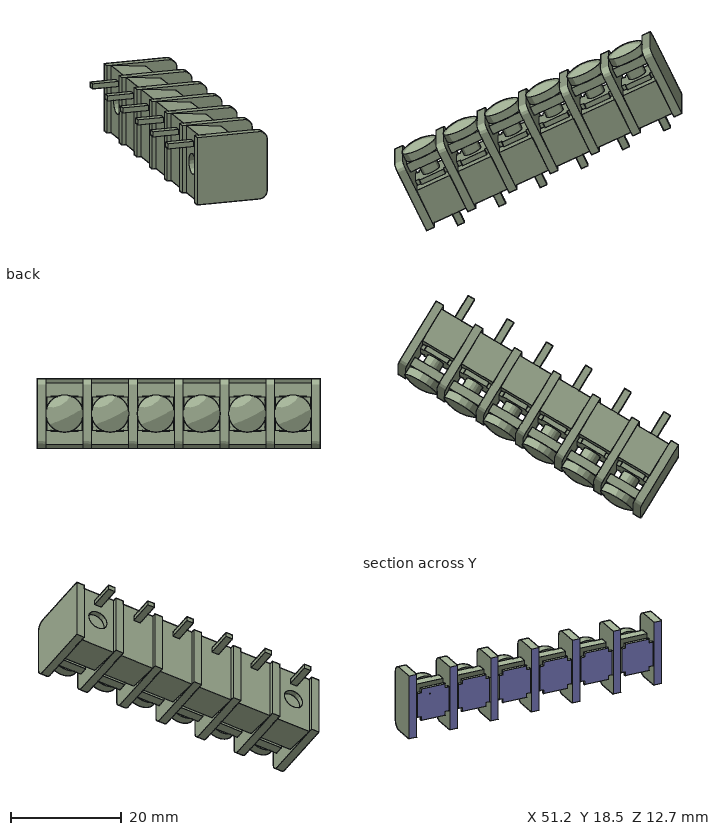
import cadquery as cq
import math


strip_length = 51.2
strip_height = 12.7
terminal_count = 6
wall_thickness = 1.6
pitch = (strip_length - wall_thickness) / terminal_count

wall_depth = 13.4
wall_corner_radius = 1.55

body_recess = 0.75
body_depth = 6.65
body_taper = 0.75

contact_side = 6.4
contact_thickness = 0.9
contact_notch = 0.75

shank_diameter = 3.4
shank_length = 2.0
clamp_width = 6.4
clamp_height = 6.05
clamp_thickness = 1.7
head_diameter = 6.75
head_rim = 1.6
dome_height = 0.75

pin_width = 1.4
pin_thickness = 0.95
pin_length = 4.15
pin_offset = 3.95

hole_diameter = 3.8
hole_depth = 1.0

contact_base = body_recess + body_depth
shank_base = contact_base + contact_thickness
clamp_base = shank_base + shank_length
head_base = clamp_base + clamp_thickness

bay_centers = [(i - (terminal_count - 1) / 2) * pitch for i in range(terminal_count)]
wall_centers = [(i - terminal_count / 2) * pitch for i in range(terminal_count + 1)]


def slab(width, height, start, depth):
    """Rectangular block centred on X and Z, running from Y = start to start + depth."""
    return cq.Workplane("XY").box(width, depth, height).translate((0, start + depth / 2, 0))


def make_wall():
    """Dividing wall with its two screw-side corners rounded."""
    plate = slab(wall_thickness, strip_height, 0, wall_depth)
    return plate.edges(">Y and |X").fillet(wall_corner_radius)


def make_body():
    """Block running through all bays, narrowing in Z towards +Y, with a blind hole in each end bay."""
    pin_side_z = strip_height / 2
    screw_side_z = pin_side_z - body_taper
    profile = [
        (body_recess, -pin_side_z),
        (contact_base, -screw_side_z),
        (contact_base, screw_side_z),
        (body_recess, pin_side_z),
    ]
    half_length = (strip_length - wall_thickness) / 2
    body = cq.Workplane("YZ").polyline(profile).close().extrude(half_length, both=True)
    holes = (
        cq.Workplane("XZ", origin=(0, body_recess, 0))
        .pushPoints([(bay_centers[0], 0), (bay_centers[-1], 0)])
        .circle(hole_diameter / 2)
        .extrude(-hole_depth)
    )
    return body.cut(holes)


def make_contact():
    """Contact plate lying on the screw side of the body."""
    plate = slab(contact_side, contact_side, contact_base, contact_thickness)
    notch = slab(2 * contact_notch, 2 * contact_notch, contact_base, contact_thickness)
    corner = contact_side / 2
    for x in (-corner, corner):
        for z in (-corner, corner):
            plate = plate.cut(notch.translate((x, 0, z)))
    return plate


def make_screw():
    """Revolve the shank and domed head about Y; the shank stands on the contact plate."""
    shank_radius = shank_diameter / 2
    head_radius = head_diameter / 2
    rim_top = head_base + head_rim
    dome_top = rim_top + dome_height
    dome_radius = (head_radius**2 + dome_height**2) / (2 * dome_height)
    arc_radius = head_radius / 2
    arc_y = dome_top - dome_radius + math.sqrt(dome_radius**2 - arc_radius**2)
    return (
        cq.Workplane("YZ")
        .moveTo(shank_base, 0)
        .lineTo(shank_base, shank_radius)
        .lineTo(head_base, shank_radius)
        .lineTo(head_base, head_radius)
        .lineTo(rim_top, head_radius)
        .threePointArc((arc_y, arc_radius), (dome_top, 0))
        .close()
        .revolve(360, (0, 0, 0), (1, 0, 0))
    )


def make_terminal():
    """Contact, clamp, screw and solder pin of one bay."""
    clamp = slab(clamp_width, clamp_height, clamp_base, clamp_thickness)
    pin = slab(pin_width, pin_thickness, -pin_length, pin_length + body_recess)
    pin = pin.translate((0, 0, pin_offset))
    return make_contact().union(clamp).union(make_screw()).union(pin)


result = make_body()
wall = make_wall()
for x in wall_centers:
    result = result.union(wall.translate((x, 0, 0)))
terminal = make_terminal()
for x in bay_centers:
    result = result.union(terminal.translate((x, 0, 0)))